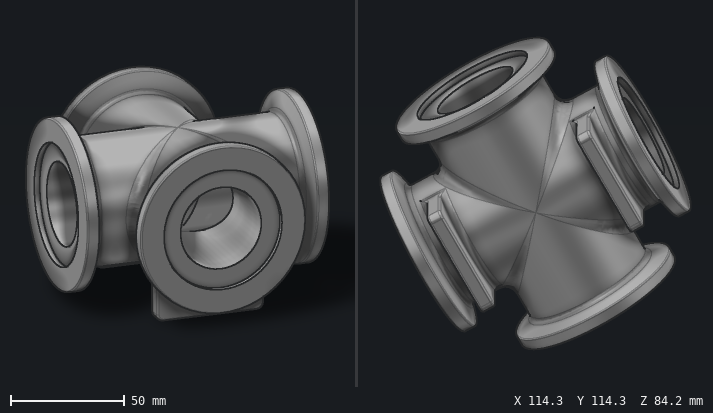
import cadquery as cq
import math

overall_length = 114.3
half_length = overall_length / 2
pipe_radius = 58.6 / 2
bore_radius = 38.1 / 2
crotch_fillet = 6.1

flange_radius = 78.0 / 2
rim_width = 5.7
cone_angle = 17.0
flange_edge_fillet = 0.7
flange_root_fillet = 2.5
recess_radius = 55.7 / 2
recess_depth = 2.6

overall_height = 84.2
foot_bottom = flange_radius - overall_height
foot_top = -bore_radius / 2
foot_offset = 37.7
foot_thickness = 6.7
foot_length = 50.5
foot_corner_fillet = 3.3
foot_edge_fillet = 1.0
foot_root_fillet = 3.0

selection_margin = 0.2


def cylinder_along_x(radius, start, end):
    """Solid cylinder on the X axis from start to end."""
    return cq.Workplane("YZ", origin=(start, 0, 0)).circle(radius).extrude(end - start)


def crossed(pipe):
    """Union of a pipe on the X axis and its copy turned onto the Y axis."""
    return pipe.union(pipe.rotate((0, 0, 0), (0, 0, 1), 90))


def make_flanged_pipe():
    """Solid pipe on the X axis with a taper-backed flange at both ends."""
    cone_length = (flange_radius - pipe_radius) * math.tan(math.radians(cone_angle))
    cone_start = half_length - rim_width
    cone_end = cone_start - cone_length
    pipe = (
        cq.Workplane("XY")
        .moveTo(-half_length, 0)
        .lineTo(-half_length, flange_radius)
        .lineTo(-cone_start, flange_radius)
        .lineTo(-cone_end, pipe_radius)
        .lineTo(cone_end, pipe_radius)
        .lineTo(cone_start, flange_radius)
        .lineTo(half_length, flange_radius)
        .lineTo(half_length, 0)
        .close()
        .revolve(360, (0, 0, 0), (1, 0, 0))
    )
    root_edges = cq.selectors.RadiusNthSelector(0)
    rim_edges = cq.selectors.RadiusNthSelector(-1)
    pipe = pipe.edges("%CIRCLE").edges(root_edges).fillet(flange_root_fillet)
    pipe = pipe.edges("%CIRCLE").edges(rim_edges).fillet(flange_edge_fillet)
    recess = cylinder_along_x(recess_radius, half_length - recess_depth, half_length)
    return pipe.cut(recess).cut(recess.mirror("YZ"))


def make_foot():
    """Plate on the +X side, reaching from the bottom up into the pipe wall."""
    foot = (
        cq.Workplane("XY", origin=(foot_offset, 0, foot_bottom))
        .rect(foot_thickness, foot_length)
        .extrude(foot_top - foot_bottom)
    )
    return foot.edges("|X and <Z").fillet(foot_corner_fillet)


def foot_zone(side, bottom, top):
    """Selector for the edges that lie wholly in one slice of a foot."""
    half_thickness = foot_thickness / 2 + selection_margin
    half_span = foot_length / 2 + selection_margin
    center = side * foot_offset
    return cq.selectors.BoxSelector(
        (center - half_thickness, -half_span, bottom - selection_margin),
        (center + half_thickness, half_span, top),
        boundingbox=True,
    )


pipe = make_flanged_pipe()
body = crossed(pipe).edges("%ELLIPSE").fillet(crotch_fillet)

foot = make_foot()
footed_pipe = pipe.union(foot).union(foot.mirror("YZ"))
for side in (-1, 1):
    root_edges = foot_zone(side, -pipe_radius, 0)
    footed_pipe = footed_pipe.edges(root_edges).fillet(foot_root_fillet)
    outline_edges = foot_zone(side, foot_bottom, -bore_radius)
    footed_pipe = footed_pipe.edges(outline_edges).edges("|Y").fillet(foot_edge_fillet)
body = body.union(footed_pipe)

bore = cylinder_along_x(bore_radius, -half_length, half_length)
result = body.cut(crossed(bore))